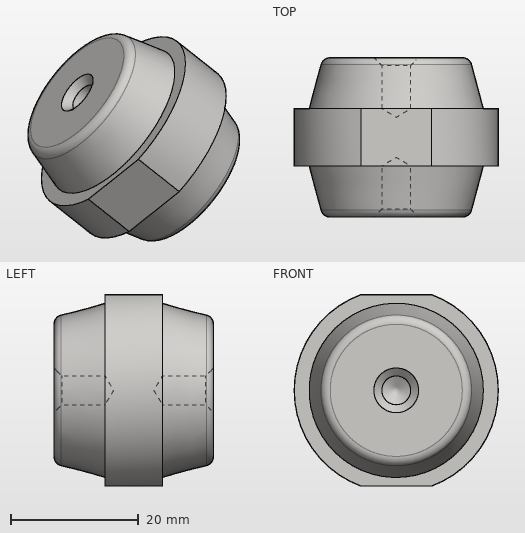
import cadquery as cq
import math

band_diameter = 32.0
band_width = 9.02
flat_distance = 30.0
total_length = 25.0
cone_base_diameter = 27.3
cone_angle = 15.0
end_fillet = 1.5
hole_diameter = 4.5
hole_depth = 8.0
hole_tip_angle = 118.0
countersink_diameter = 7.0
countersink_angle = 90.0

half_length = total_length / 2
half_band = band_width / 2
band_radius = band_diameter / 2
cone_base_radius = cone_base_diameter / 2
cone_length = half_length - half_band
cone_end_radius = cone_base_radius - cone_length * math.tan(math.radians(cone_angle))


def revolve_about_y(points):
    """Revolve a closed (radius, y) outline fully about the Y axis."""
    return cq.Workplane("XY").polyline(points).close().revolve(360, (0, 0), (0, 1))


def make_tapered_body():
    """Two cones narrowing towards rounded ends, joined at the middle."""
    body = revolve_about_y([
        (0, -half_length),
        (cone_end_radius, -half_length),
        (cone_base_radius, -half_band),
        (cone_base_radius, half_band),
        (cone_end_radius, half_length),
        (0, half_length),
    ])
    return body.faces("<Y or >Y").edges().fillet(end_fillet)


def make_band():
    """Round central band with a flat on top and bottom."""
    disc = cq.Workplane("XZ").circle(band_radius).extrude(half_band, both=True)
    flats = cq.Workplane("XY").box(band_diameter, band_width, flat_distance)
    return disc.intersect(flats)


def make_end_hole():
    """Cutter for the countersunk blind hole in the -Y end."""
    hole_radius = hole_diameter / 2
    countersink_radius = countersink_diameter / 2
    countersink_slope = math.tan(math.radians(countersink_angle / 2))
    countersink_depth = (countersink_radius - hole_radius) / countersink_slope
    tip_length = hole_radius / math.tan(math.radians(hole_tip_angle / 2))
    return revolve_about_y([
        (0, -half_length),
        (countersink_radius, -half_length),
        (hole_radius, -half_length + countersink_depth),
        (hole_radius, -half_length + hole_depth),
        (0, -half_length + hole_depth + tip_length),
    ])


end_hole = make_end_hole()
result = make_tapered_body().union(make_band())
result = result.cut(end_hole).cut(end_hole.mirror("XZ"))